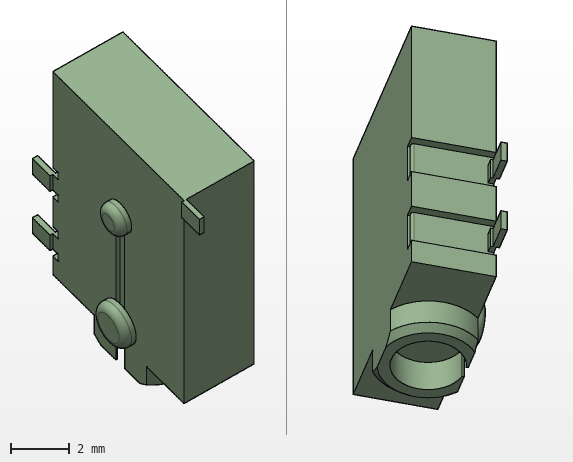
import cadquery as cq


HOUSING_LEFT = -3.8
HOUSING_RIGHT = 3.6
HOUSING_DEPTH = 3.0
BARREL_LENGTH = 1.2
HOUSING_HEIGHT = 10.4
HOUSING_TOP = BARREL_LENGTH + HOUSING_HEIGHT

BARREL_RADIUS = 2.0
BARREL_AXIS_Y = 1.35
BARREL_CHAMFER = 0.26
BORE_RADIUS = 1.3

SLOT_WIDTH = 0.5
SLOT_DEPTH = 0.16
CORE_RADIUS = BARREL_AXIS_Y - SLOT_DEPTH

PEG_HEIGHT = 0.5
PEG_ROUNDING = 0.3
LARGE_PEG_DIAMETER = 1.8
LARGE_PEG_Z = 2.2
SMALL_PEG_DIAMETER = 1.3
SMALL_PEG_Z = 7.6

NOTCH_CENTERS_Z = (2.9, 5.93)
NOTCH_HEIGHT = 1.5
NOTCH_DEPTH = 0.3
RELIEF_WIDTH = 0.08
RELIEF_EXTRA_DEPTH = 0.2
FLOOR_ROUNDING = 0.1

TERMINAL_LENGTH = 1.0
TERMINAL_HEIGHT = 0.8
LEFT_TERMINAL_THICKNESS = 0.23
ROOT_THICKNESS = 0.2
RIGHT_TERMINAL_THICKNESS = 0.2


def box(x_range, y_range, z_range):
    """Axis-aligned box given by its limits on each axis."""
    size = [high - low for low, high in (x_range, y_range, z_range)]
    corner = cq.Vector(x_range[0], y_range[0], z_range[0])
    return cq.Workplane("XY").box(*size, centered=False).translate(corner)


def barrel_cylinder(radius, z_bottom, z_top):
    """Upright cylinder on the plug axis."""
    base = cq.Workplane("XY", origin=(0, BARREL_AXIS_Y, z_bottom))
    return base.circle(radius).extrude(z_top - z_bottom)


def make_housing():
    return box((HOUSING_LEFT, HOUSING_RIGHT), (0, HOUSING_DEPTH), (BARREL_LENGTH, HOUSING_TOP))


def make_barrel():
    """Round barrel with a chamfered mouth, cut flat at the housing's front and back."""
    barrel = barrel_cylinder(BARREL_RADIUS, 0, BARREL_LENGTH)
    barrel = barrel.faces("<Z").chamfer(BARREL_CHAMFER)
    flats = box((-BARREL_RADIUS, BARREL_RADIUS), (0, HOUSING_DEPTH), (0, BARREL_LENGTH))
    bore = barrel_cylinder(BORE_RADIUS, 0, BARREL_LENGTH)
    return barrel.intersect(flats).cut(bore)


def make_slot():
    """Slot from the barrel mouth up to the small peg; above the bore its floor is the core."""
    slot = box((-SLOT_WIDTH / 2, SLOT_WIDTH / 2), (0, BARREL_AXIS_Y), (0, SMALL_PEG_Z))
    core = barrel_cylinder(CORE_RADIUS, BARREL_LENGTH, SMALL_PEG_Z)
    return slot.cut(core)


def make_peg(diameter, z_center):
    """Peg with a rounded rim, standing on the seating face and bridging the slot."""
    base = cq.Workplane("XZ", origin=(0, 0, z_center))
    peg = base.circle(diameter / 2).extrude(PEG_HEIGHT)
    return peg.faces("<Y").edges().fillet(PEG_ROUNDING)


def make_notch(z_center):
    """Terminal notch with a deeper relief and a rounded floor edge along its back."""
    z_bottom = z_center - NOTCH_HEIGHT / 2
    floor_x = HOUSING_LEFT + NOTCH_DEPTH
    relief_x = floor_x + RELIEF_EXTRA_DEPTH
    relief_y = HOUSING_DEPTH - RELIEF_WIDTH
    profile = (
        cq.Workplane("XY", origin=(0, 0, z_bottom))
        .moveTo(HOUSING_LEFT, 0)
        .lineTo(floor_x, 0)
        .lineTo(floor_x, relief_y - FLOOR_ROUNDING)
        .radiusArc((floor_x + FLOOR_ROUNDING, relief_y), FLOOR_ROUNDING)
        .lineTo(relief_x, relief_y)
        .lineTo(relief_x, HOUSING_DEPTH)
        .lineTo(HOUSING_LEFT, HOUSING_DEPTH)
        .close()
    )
    return profile.extrude(NOTCH_HEIGHT)


def make_left_terminal(z_center):
    """Tab outside the housing, joined to the notch floor by a root flush with the seating face."""
    z_range = (z_center - TERMINAL_HEIGHT / 2, z_center + TERMINAL_HEIGHT / 2)
    half_thickness = LEFT_TERMINAL_THICKNESS / 2
    tab = box((HOUSING_LEFT - TERMINAL_LENGTH, HOUSING_LEFT), (-half_thickness, half_thickness), z_range)
    root = box((HOUSING_LEFT, HOUSING_LEFT + NOTCH_DEPTH), (0, ROOT_THICKNESS), z_range)
    return tab.union(root)


def make_right_terminal():
    """Tab at the upper right corner, level with the housing top."""
    half_thickness = RIGHT_TERMINAL_THICKNESS / 2
    return box(
        (HOUSING_RIGHT, HOUSING_RIGHT + TERMINAL_LENGTH),
        (-half_thickness, half_thickness),
        (HOUSING_TOP - TERMINAL_HEIGHT, HOUSING_TOP),
    )


body = make_housing().union(make_barrel()).cut(make_slot())
body = body.union(make_peg(LARGE_PEG_DIAMETER, LARGE_PEG_Z))
body = body.union(make_peg(SMALL_PEG_DIAMETER, SMALL_PEG_Z))
for notch_z in NOTCH_CENTERS_Z:
    body = body.cut(make_notch(notch_z))
    body = body.union(make_left_terminal(notch_z))
result = body.union(make_right_terminal())